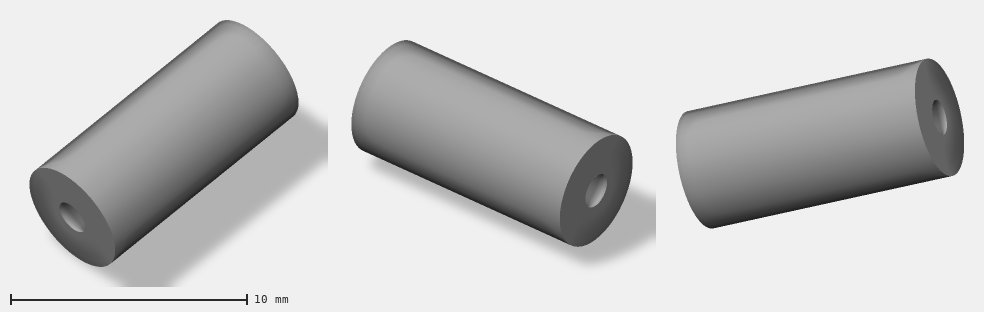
import cadquery as cq

length = 11.1
outer_diameter = 5.08
bore_diameter = 1.52

result = (
    cq.Workplane("XZ", origin=(0, length / 2, 0))
    .circle(outer_diameter / 2)
    .circle(bore_diameter / 2)
    .extrude(length)
)